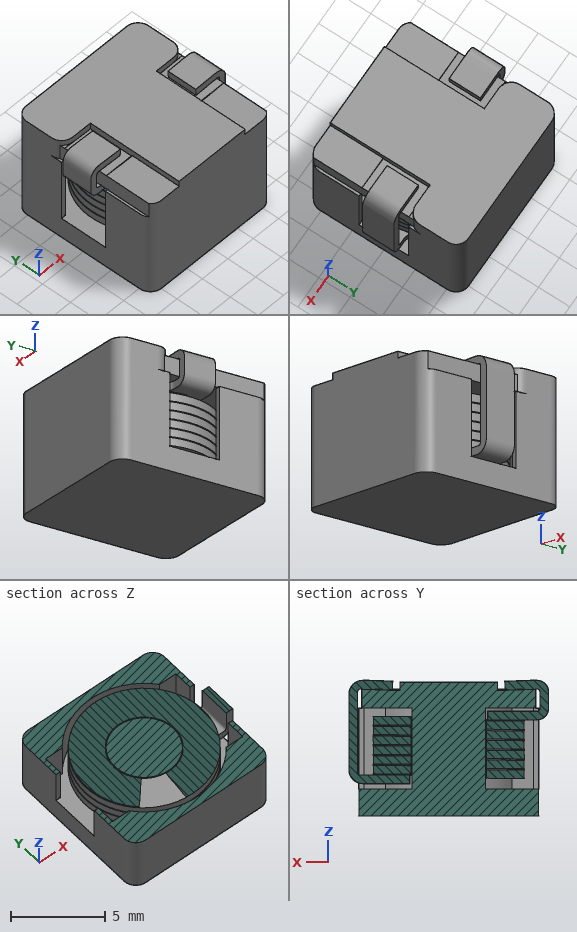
import cadquery as cq
import math

core_length = 9.56
core_width = 9.74
core_height = 7.11
corner_radius = 0.81
side_x = core_length / 2
front_y = -core_width / 2

recess_inner_x = 2.6
recess_back_y = 1.49
recess_floor_z = 6.74
ledge_x = side_x - 0.16
ledge_z = 5.73
pad_slope = 2.0

window_half_width = 1.58
chamber_floor_z = 1.44
chamber_roof_z = ledge_z
chamber_radius = 4.35
window_wall = 0.3
lead_bay_half_width = 2.76
post_radius = 2.04

wire_width = 1.99
wire_thickness = 0.47
coil_inner_radius = 2.06
coil_outer_radius = coil_inner_radius + wire_width
turns = 6.5
coil_start_z = 1.72
coil_end_z = 5.1
coil_pitch = (coil_end_z - coil_start_z) / turns

lead_outer_x = 5.3
terminal_top_z = recess_floor_z + wire_thickness
lower_lead_bend = 0.75
upper_lead_bend = 0.63
inner_bend = 0.16
terminal_flat = 0.31
terminal_tip_x = 2.97
lead_fillet = 0.57


def block(x_min, x_max, y_min, y_max, z_min, z_max):
    size = (x_max - x_min, y_max - y_min, z_max - z_min)
    return cq.Workplane("XY").box(*size, centered=False).translate((x_min, y_min, z_min))


def mirrored(shape, side):
    """Keep a shape made for the +X side, or mirror it to the -X side."""
    return shape if side > 0 else shape.mirror("YZ")


def cylinder(radius, z_min, z_max):
    return cq.Workplane("XY").workplane(offset=z_min).circle(radius).extrude(z_max - z_min)


def terminal_recess():
    """Shallow corner recess with a rounded back corner, and the deeper ledge along the side wall."""
    arc_centre = (side_x - corner_radius, recess_back_y + corner_radius)
    arc_mid = (
        arc_centre[0] + corner_radius * math.sin(math.pi / 4),
        arc_centre[1] - corner_radius * math.cos(math.pi / 4),
    )
    outline = (
        cq.Workplane("XY")
        .workplane(offset=ledge_z)
        .moveTo(recess_inner_x, front_y)
        .lineTo(side_x, front_y)
        .lineTo(side_x, arc_centre[1])
        .threePointArc(arc_mid, (arc_centre[0], recess_back_y))
        .lineTo(recess_inner_x, recess_back_y)
        .close()
        .extrude(core_height - ledge_z)
    )
    kept_floor = block(0, ledge_x, front_y, -front_y, ledge_z, recess_floor_z)
    return outline.cut(kept_floor)


def sloped_pad():
    """Wedge cut into the recess floor so that it falls towards the middle of the core."""
    drop = (ledge_x - recess_inner_x) * math.tan(math.radians(pad_slope))
    return (
        cq.Workplane("XZ")
        .moveTo(ledge_x, recess_floor_z)
        .lineTo(recess_inner_x, recess_floor_z)
        .lineTo(recess_inner_x, recess_floor_z - drop)
        .close()
        .extrude(recess_back_y, both=True)
    )


def winding_chamber():
    """Round chamber, widened behind the two windows, around a central post."""
    bay_x = side_x - window_wall
    chamber = cylinder(chamber_radius, chamber_floor_z, chamber_roof_z)
    for half_x, half_y in ((bay_x, lead_bay_half_width), (side_x, window_half_width)):
        chamber = chamber.union(
            block(-half_x, half_x, -half_y, half_y, chamber_floor_z, chamber_roof_z)
        )
    return chamber.cut(cylinder(post_radius, chamber_floor_z, chamber_roof_z))


def make_core():
    core = block(-side_x, side_x, front_y, -front_y, 0, core_height)
    core = core.edges("|Z").fillet(corner_radius)
    core = core.cut(winding_chamber())
    for side in (1, -1):
        core = core.cut(mirrored(terminal_recess(), side))
        core = core.cut(mirrored(sloped_pad(), side))
    return core


def lead_strip(bend_radius, arm_z):
    """Wire strip for the +X side: out from the coil, up the side wall and over the recess floor."""
    bend_x = lead_outer_x - bend_radius
    lower_bend_z = arm_z + bend_radius
    upper_bend_z = terminal_top_z - bend_radius
    inner_x = lead_outer_x - wire_thickness
    inner_bend_x = inner_x - inner_bend
    inner_lower_z = arm_z + wire_thickness + inner_bend
    inner_upper_z = recess_floor_z - inner_bend
    slope_x = bend_x - terminal_flat
    tip_length = slope_x - terminal_tip_x
    slope = math.radians(pad_slope)
    tip_top_z = terminal_top_z - tip_length * math.tan(slope)
    tip_bottom = (
        terminal_tip_x + wire_thickness * math.sin(slope),
        tip_top_z - wire_thickness * math.cos(slope),
    )
    diagonal = math.sin(math.pi / 4)

    def bend_mid(radius, centre_x, centre_z, up):
        return (centre_x + radius * diagonal, centre_z + up * radius * diagonal)

    return (
        cq.Workplane("XZ")
        .moveTo(coil_inner_radius, arm_z)
        .lineTo(bend_x, arm_z)
        .threePointArc(bend_mid(bend_radius, bend_x, lower_bend_z, -1), (lead_outer_x, lower_bend_z))
        .lineTo(lead_outer_x, upper_bend_z)
        .threePointArc(bend_mid(bend_radius, bend_x, upper_bend_z, 1), (bend_x, terminal_top_z))
        .lineTo(slope_x, terminal_top_z)
        .lineTo(terminal_tip_x, tip_top_z)
        .lineTo(*tip_bottom)
        .lineTo(slope_x, recess_floor_z)
        .lineTo(inner_bend_x, recess_floor_z)
        .threePointArc(
            bend_mid(inner_bend, inner_bend_x, inner_upper_z, 1), (inner_x, inner_upper_z)
        )
        .lineTo(inner_x, inner_lower_z)
        .threePointArc(
            bend_mid(inner_bend, inner_bend_x, inner_lower_z, -1), (inner_bend_x, arm_z + wire_thickness)
        )
        .lineTo(coil_inner_radius, arm_z + wire_thickness)
        .close()
        .extrude(wire_width / 2, both=True)
    )


def lead_corner(arm_z):
    """Concave web that rounds the inside corner between the lead and the coil's outer edge."""
    edge_y = wire_width / 2
    centre_y = edge_y + lead_fillet
    centre_distance = coil_outer_radius + lead_fillet
    centre_x = math.sqrt(centre_distance**2 - centre_y**2)
    direction = math.atan2(centre_y, centre_x)
    on_coil = (coil_outer_radius * math.cos(direction), coil_outer_radius * math.sin(direction))
    towards_coil = direction + math.pi
    towards_lead = 1.5 * math.pi
    mid_angle = (towards_coil + towards_lead) / 2
    arc_mid = (
        centre_x + lead_fillet * math.cos(mid_angle),
        centre_y + lead_fillet * math.sin(mid_angle),
    )
    root_x = coil_outer_radius - wire_width / 2
    return (
        cq.Workplane("XY")
        .workplane(offset=arm_z)
        .moveTo(root_x, edge_y)
        .lineTo(centre_x, edge_y)
        .threePointArc(arc_mid, on_coil)
        .close()
        .extrude(wire_thickness)
    )


def winding():
    mid_radius = (coil_inner_radius + coil_outer_radius) / 2
    path = cq.Wire.makeHelix(coil_pitch, coil_pitch * turns, mid_radius)
    section = cq.Workplane("XZ").center(mid_radius, wire_thickness / 2).rect(wire_width, wire_thickness)
    return section.sweep(cq.Workplane(path), isFrenet=True).translate((0, 0, coil_start_z))


def make_coil():
    coil = winding()
    for side, bend_radius, arm_z in (
        (1, lower_lead_bend, coil_start_z),
        (-1, upper_lead_bend, coil_end_z),
    ):
        lead = lead_strip(bend_radius, arm_z).union(lead_corner(arm_z))
        coil = coil.union(mirrored(lead, side))
    return coil


core = make_core()
coil = make_coil()

result = cq.Compound.makeCompound([core.val(), coil.val()])